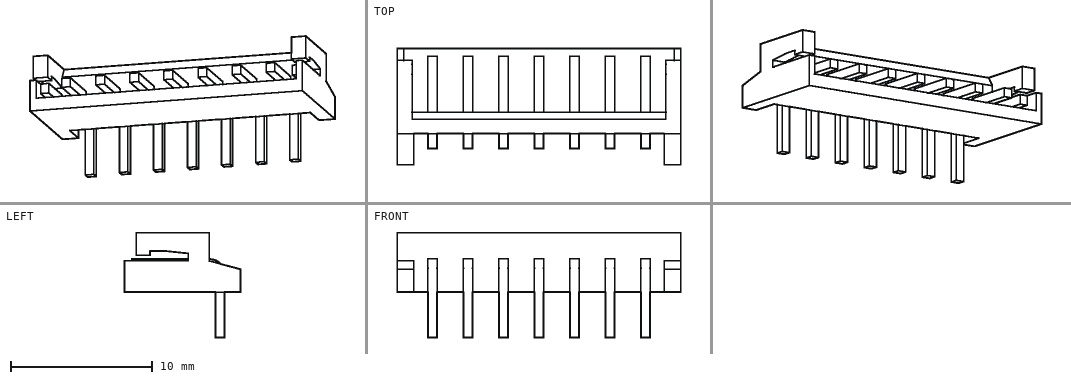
import cadquery as cq


width = 20.0
housing_height = 4.2
housing_depth = 6.0
floor_height = 0.9
front_wall_top = 1.02
front_wall_bottom = 1.5
lead_in_height = 0.68

side_wall = 1.05
ledge_height = 2.22
ledge_wall = 0.45
rail_bottom = 1.52
rail_setback = 1.12
arm_setback = 0.85

hook_length = 0.98
hook_level = 2.6
slot_top = 2.9
slot_end_level = 2.72
slot_flat_end = 2.8
slot_end = 4.52

foot_width = 1.18
foot_length = 2.2
foot_root_height = 2.2
foot_tip_height = 1.62

pin_count = 7
pin_pitch = 2.5
pin_size = 0.65
pin_top = 2.35
pin_tip = -3.2
pin_reach = 1.05
pin_setback = 0.55
bend_radius = 1.05

overlap = 0.2


def side_extrusion(outline, thickness, center_x):
    """Extrude an outline of (Y, Z) points along X, centred on center_x."""
    plane = cq.Workplane("YZ", origin=(center_x - thickness / 2, 0, 0))
    return plane.polyline(outline).close().extrude(thickness)


def make_tray():
    """Floor and front wall, with a sloping lead-in along its inner top edge."""
    outline = [
        (0, 0),
        (housing_depth, 0),
        (housing_depth, floor_height),
        (front_wall_bottom, floor_height),
        (front_wall_bottom, housing_height - lead_in_height),
        (front_wall_top, housing_height),
        (0, housing_height),
    ]
    return side_extrusion(outline, width, 0)


def make_side_wall(side):
    """Side wall with its guide rail and hooked upper arm; side is -1 (left) or +1 (right)."""
    arm_back = housing_depth - arm_setback
    slot_front = housing_depth - slot_end
    outline = [
        (0, 0),
        (housing_depth, 0),
        (housing_depth, ledge_height),
        (slot_front, ledge_height),
        (slot_front, slot_end_level),
        (housing_depth - slot_flat_end, slot_top),
        (arm_back - hook_length, slot_top),
        (arm_back - hook_length, hook_level),
        (arm_back, hook_level),
        (arm_back, housing_height),
        (0, housing_height),
    ]
    wall = side_extrusion(outline, side_wall, side * (width - side_wall) / 2)

    rail_back = housing_depth - rail_setback
    relief_outline = [
        (front_wall_bottom, floor_height),
        (housing_depth, floor_height),
        (housing_depth, ledge_height),
        (rail_back, ledge_height),
        (rail_back, rail_bottom),
        (front_wall_bottom, rail_bottom),
    ]
    relief_width = side_wall - ledge_wall
    relief_center = side * (width / 2 - ledge_wall - relief_width / 2)
    relief = side_extrusion(relief_outline, relief_width, relief_center)
    return wall.cut(relief)


def make_foot(side):
    """Front foot with a sloping top; side is -1 (left) or +1 (right)."""
    outline = [
        (overlap, 0),
        (-foot_length, 0),
        (-foot_length, foot_tip_height),
        (0, foot_root_height),
        (overlap, foot_root_height),
    ]
    return side_extrusion(outline, foot_width, side * (width - foot_width) / 2)


def make_pin(center_x):
    """Square pin running through the front wall and bent down ahead of it."""
    pin_back = housing_depth - pin_setback
    leg_back = pin_size - pin_reach
    pin_bottom = pin_top - pin_size
    outline = [
        (pin_back, pin_top),
        (-pin_reach, pin_top),
        (-pin_reach, pin_tip),
        (leg_back, pin_tip),
        (leg_back, pin_bottom),
        (pin_back, pin_bottom),
    ]
    pin = side_extrusion(outline, pin_size, center_x)
    outer_corner = cq.selectors.NearestToPointSelector((center_x, -pin_reach, pin_top))
    inner_corner = cq.selectors.NearestToPointSelector((center_x, leg_back, pin_bottom))
    pin = pin.edges("|X").edges(outer_corner).fillet(bend_radius)
    return pin.edges("|X").edges(inner_corner).fillet(bend_radius - pin_size)


result = make_tray()
for side in (-1, 1):
    result = result.union(make_side_wall(side)).union(make_foot(side))
for index in range(pin_count):
    result = result.union(make_pin((index - (pin_count - 1) / 2) * pin_pitch))